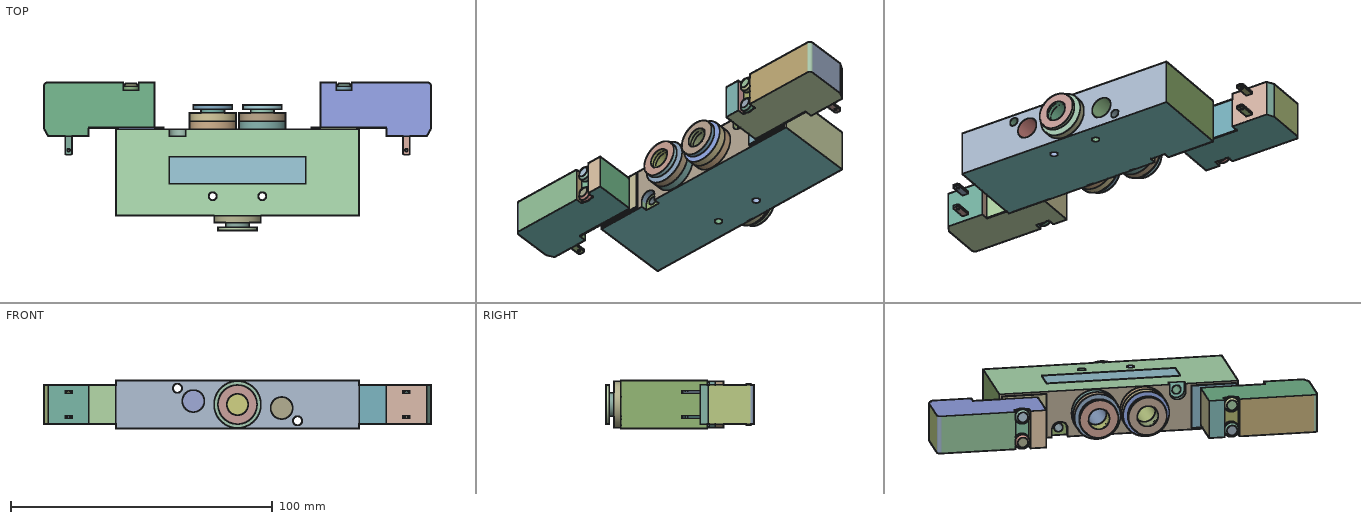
import cadquery as cq

HOUSING_LENGTH = 93.0
HOUSING_WIDTH = 33.0
HOUSING_HEIGHT = 18.5

LABEL_LENGTH = 52.2
LABEL_WIDTH = 10.2
LABEL_DEPTH = 0.1
LABEL_Y = -15.7

COLLAR_DIA = 18.0
NECK_DIA = 9.0
RING_DIA = 15.0
BORE_DIA = 8.2
BORE_DEPTH = 14.8
FITTING_X = 9.5
REAR_BOSS_HEIGHT = 3.1
REAR_COLLAR_HEIGHT = 3.1
REAR_NECK_HEIGHT = 1.3
REAR_RING_HEIGHT = 1.8
FRONT_COLLAR_HEIGHT = 2.7
FRONT_NECK_HEIGHT = 1.8
FRONT_RING_HEIGHT = 1.3

PORT_DIA = 8.5
PORT_X = 16.9
PORT_Z = 1.3

VERTICAL_HOLE_DIA = 3
VERTICAL_HOLE_Y = -25.6

LONG_HOLE_DIA = 3.4
LONG_HOLE_X = 23.0
LONG_HOLE_Z = 6.2
NOTCH_WIDTH = 6.2
NOTCH_DEPTH = 2.7

SOLENOID_OUTER_X = -74.1
SOLENOID_INNER_X = -31.7
SOLENOID_HEIGHT = 15.0
SOLENOID_REAR_Y = 18.0
SOLENOID_BASE_Y = 0.7
REAR_FILLET = 1.5
FOOT_INNER_X = -56.9
FOOT_Y = -2.7
FOOT_CHAMFER_X = 1.6
FOOT_CHAMFER_Y = 3.0

PAD_INNER_X = -28.3
PLATE_THICKNESS = 0.5
PLATE_HEIGHT = 14.8
PAD_HEIGHT = 16.9
PAD_OUTER_X = -45.6

SCREW_X = -40.8
SCREW_PROTRUSION = 0.5
SCREW_HEAD_DIA = 5.8
SCREW_STRAIGHT_HEIGHT = 1.8
SCREW_TOP_DIA = 3.9
SCREW_TAPER_HEIGHT = 0.9
SLOT_DEPTH = 3.1

PIN_X = -64.6
PIN_Z = 4.7
PIN_WIDTH = 2.7
PIN_THICKNESS = 0.9
PIN_LENGTH = 7.1
PIN_TIP_CHAMFER = 0.5
PIN_HOLE_DIA = 1.0
PIN_HOLE_FROM_TIP = 1.8


def box(x_range, y_range, z_range):
    """Box given by its limits along each axis."""
    sizes = [high - low for low, high in (x_range, y_range, z_range)]
    corner = (x_range[0], y_range[0], z_range[0])
    return cq.Workplane("XY").box(*sizes, centered=False).translate(corner)


def cylinder_y(diameter, x, z, y_start, y_end):
    """Cylinder along Y from y_start to y_end."""
    disc = cq.Workplane("XZ", origin=(x, y_start, z)).circle(diameter / 2)
    return disc.extrude(y_start - y_end)


def fitting_stack(x, y_start, direction, steps):
    """Discs (diameter, height) stacked from y_start along +Y or -Y."""
    stack = cq.Workplane("XY")
    y = y_start
    for diameter, height in steps:
        y_next = y + direction * height
        stack = stack.union(cylinder_y(diameter, x, 0, y, y_next))
        y = y_next
    return stack


def make_housing():
    half_length = HOUSING_LENGTH / 2
    half_height = HOUSING_HEIGHT / 2
    front_y = -HOUSING_WIDTH
    housing = box((-half_length, half_length), (front_y, 0), (-half_height, half_height))

    front_steps = [
        (COLLAR_DIA, FRONT_COLLAR_HEIGHT),
        (NECK_DIA, FRONT_NECK_HEIGHT),
        (RING_DIA, FRONT_RING_HEIGHT),
    ]
    front_end_y = front_y - sum(height for _, height in front_steps)
    housing = housing.union(fitting_stack(0, front_y, -1, front_steps))
    for x in (-FITTING_X, FITTING_X):
        housing = housing.union(cylinder_y(COLLAR_DIA, x, 0, 0, REAR_BOSS_HEIGHT))

    housing = housing.cut(cylinder_y(BORE_DIA, 0, 0, front_end_y, front_y + BORE_DEPTH))
    for x in (-FITTING_X, FITTING_X):
        housing = housing.cut(cylinder_y(BORE_DIA, x, 0, REAR_BOSS_HEIGHT, -BORE_DEPTH))

    for side in (1, -1):
        port = cylinder_y(PORT_DIA, -side * PORT_X, side * PORT_Z, front_y, front_y + BORE_DEPTH)
        hole_x = -side * LONG_HOLE_X
        hole_z = side * LONG_HOLE_Z
        long_hole = cylinder_y(LONG_HOLE_DIA, hole_x, hole_z, front_y, 0)
        notch_walls = box(
            (hole_x - NOTCH_WIDTH / 2, hole_x + NOTCH_WIDTH / 2),
            (-NOTCH_DEPTH, 0),
            sorted((hole_z, side * half_height)),
        )
        notch = cylinder_y(NOTCH_WIDTH, hole_x, hole_z, -NOTCH_DEPTH, 0).union(notch_walls)
        housing = housing.cut(port).cut(long_hole).cut(notch)

    vertical_holes = (
        cq.Workplane("XY", origin=(0, VERTICAL_HOLE_Y, -half_height))
        .pushPoints([(-FITTING_X, 0), (FITTING_X, 0)])
        .circle(VERTICAL_HOLE_DIA / 2)
        .extrude(HOUSING_HEIGHT)
    )

    label = box(
        (-LABEL_LENGTH / 2, LABEL_LENGTH / 2),
        (LABEL_Y - LABEL_WIDTH / 2, LABEL_Y + LABEL_WIDTH / 2),
        (half_height - LABEL_DEPTH, half_height),
    )
    return housing.cut(vertical_holes).cut(label)


def make_rear_fitting(x):
    steps = [
        (COLLAR_DIA, REAR_COLLAR_HEIGHT),
        (NECK_DIA, REAR_NECK_HEIGHT),
        (RING_DIA, REAR_RING_HEIGHT),
    ]
    end_y = REAR_BOSS_HEIGHT + sum(height for _, height in steps)
    fitting = fitting_stack(x, REAR_BOSS_HEIGHT, 1, steps)
    return fitting.cut(cylinder_y(BORE_DIA, x, 0, REAR_BOSS_HEIGHT, end_y))


def make_screw_head(z, floor_y):
    """Round screw head that tapers to a smaller top."""
    top_y = floor_y + SCREW_STRAIGHT_HEIGHT + SCREW_TAPER_HEIGHT
    head = cylinder_y(SCREW_HEAD_DIA, SCREW_X, z, floor_y, top_y)
    taper_width = (SCREW_HEAD_DIA - SCREW_TOP_DIA) / 2
    return head.faces(">Y").chamfer(taper_width, SCREW_TAPER_HEIGHT)


def make_pin(z):
    """Flat terminal pin with a chamfered tip and a cross hole."""
    tip_y = FOOT_Y - PIN_LENGTH
    half_width = PIN_WIDTH / 2
    half_thickness = PIN_THICKNESS / 2
    pin = box(
        (PIN_X - half_width, PIN_X + half_width),
        (tip_y, FOOT_Y),
        (z - half_thickness, z + half_thickness),
    )
    pin = pin.faces("<Y").edges("|Z").chamfer(PIN_TIP_CHAMFER)
    hole = (
        cq.Workplane("XY", origin=(PIN_X, tip_y + PIN_HOLE_FROM_TIP, z - half_thickness))
        .circle(PIN_HOLE_DIA / 2)
        .extrude(PIN_THICKNESS)
    )
    return pin.cut(hole)


def make_solenoid():
    half_height = SOLENOID_HEIGHT / 2

    outline = [
        (SOLENOID_INNER_X, SOLENOID_REAR_Y),
        (SOLENOID_OUTER_X, SOLENOID_REAR_Y),
        (SOLENOID_OUTER_X, FOOT_Y + FOOT_CHAMFER_Y),
        (SOLENOID_OUTER_X + FOOT_CHAMFER_X, FOOT_Y),
        (FOOT_INNER_X, FOOT_Y),
        (FOOT_INNER_X, SOLENOID_BASE_Y),
        (SOLENOID_INNER_X, SOLENOID_BASE_Y),
    ]
    block = cq.Workplane("XY", origin=(0, 0, -half_height)).polyline(outline).close()
    solenoid = block.extrude(SOLENOID_HEIGHT)
    solenoid = solenoid.edges("|Z and >Y and <X").fillet(REAR_FILLET)

    plate = box(
        (FOOT_INNER_X, PAD_OUTER_X),
        (SOLENOID_BASE_Y - PLATE_THICKNESS, SOLENOID_BASE_Y),
        (-PLATE_HEIGHT / 2, PLATE_HEIGHT / 2),
    )
    pad = box(
        (PAD_OUTER_X, PAD_INNER_X),
        (0, SOLENOID_BASE_Y),
        (-PAD_HEIGHT / 2, PAD_HEIGHT / 2),
    )
    solenoid = solenoid.union(plate).union(pad)

    slot_floor_y = SOLENOID_REAR_Y - SLOT_DEPTH
    slot = box(
        (SCREW_X - SCREW_HEAD_DIA / 2, SCREW_X + SCREW_HEAD_DIA / 2),
        (slot_floor_y, SOLENOID_REAR_Y),
        (-half_height, half_height),
    )
    solenoid = solenoid.cut(slot)
    screw_z = half_height + SCREW_PROTRUSION - SCREW_HEAD_DIA / 2
    for z in (-screw_z, screw_z):
        solenoid = solenoid.union(make_screw_head(z, slot_floor_y))

    for z in (-PIN_Z, PIN_Z):
        solenoid = solenoid.union(make_pin(z))
    return solenoid


housing = make_housing()
rear_fittings = [make_rear_fitting(x) for x in (-FITTING_X, FITTING_X)]
left_solenoid = make_solenoid()
right_solenoid = left_solenoid.mirror("YZ")

result = cq.Compound.makeCompound(
    [
        housing.solids().val(),
        *[fitting.solids().val() for fitting in rear_fittings],
        left_solenoid.solids().val(),
        right_solenoid.solids().val(),
    ]
)